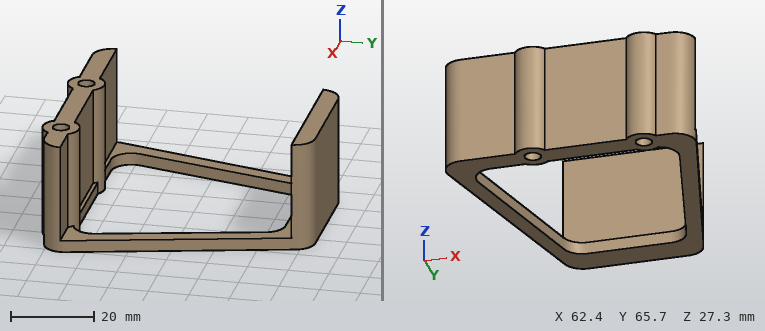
import cadquery as cq

overall_width = 62.35
overall_depth = 65.7
overall_height = 27.3

front_wall_thickness = 5.0
back_wall_thickness = 4.8
floor_thickness = 3.0
corner_radius = front_wall_thickness
back_corner_spacing = 24.95

boss_diameter = 9.0
hole_diameter = 4.0
boss_positions_x = (-8.8, 19.0)

window_front_margin = 6.0
window_back_margin = 7.8
window_front_corner_spacing = 40.6
window_back_corner_spacing = 20.9

boss_y = -overall_depth / 2 + boss_diameter / 2
front_y = boss_y - front_wall_thickness / 2
back_y = overall_depth / 2


def rounded_trapezoid(y_front, y_back, front_spacing, back_spacing, radius, height):
    """Prism with a trapezoid outline, placed by the centres of its four rounded corners."""
    y_front_centre = y_front + radius
    y_back_centre = y_back - radius
    centres = [
        (-front_spacing / 2, y_front_centre),
        (front_spacing / 2, y_front_centre),
        (back_spacing / 2, y_back_centre),
        (-back_spacing / 2, y_back_centre),
    ]
    outline = cq.Workplane("XY").polyline(centres).close().offset2D(radius, "arc")
    return outline.extrude(height)


body = rounded_trapezoid(
    front_y,
    back_y,
    overall_width - 2 * corner_radius,
    back_corner_spacing,
    corner_radius,
    overall_height,
)

clear_front_y = front_y + front_wall_thickness
clear_back_y = back_y - back_wall_thickness
clearance = (
    cq.Workplane("XY", origin=(0, (clear_front_y + clear_back_y) / 2, floor_thickness))
    .rect(overall_width, clear_back_y - clear_front_y)
    .extrude(overall_height - floor_thickness)
)

window = rounded_trapezoid(
    front_y + window_front_margin,
    back_y - window_back_margin,
    window_front_corner_spacing,
    window_back_corner_spacing,
    corner_radius,
    floor_thickness,
)

boss_centres = [(x, boss_y) for x in boss_positions_x]
boss_layout = cq.Workplane("XY").pushPoints(boss_centres)
bosses = boss_layout.circle(boss_diameter / 2).extrude(overall_height)
holes = boss_layout.circle(hole_diameter / 2).extrude(overall_height)

result = body.cut(clearance).cut(window).union(bosses).cut(holes)